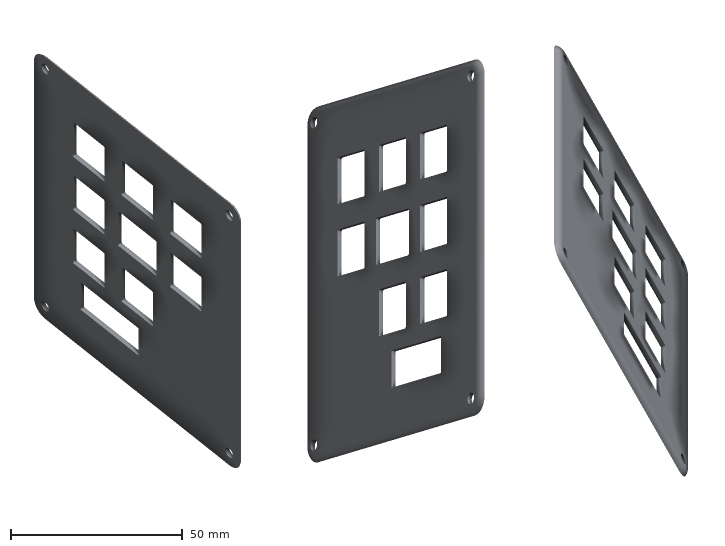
import cadquery as cq
import math

width = 91.5
height = 105.7
thickness = 1.5
corner_radius = 5.0

edge_radius = 3.0
arc_centre_depth = edge_radius - thickness
overhang = edge_radius - math.sqrt(edge_radius**2 - arc_centre_depth**2)

screw_diameter = 3.4
screw_spacing_x = width - 2 * corner_radius
screw_spacing_z = height - 2 * corner_radius

key_width = 14.1
key_height = 14.0
wide_key_width = 17.1
key_pitch = 21.5
middle_row_z = 7.1
key_corner_radius = 0.5
keys_by_row = {1: (-1, 0, 1), 0: (-1, 0, 1), -1: (-1, 0)}

window_width = 25.8
window_height = 11.0
window_x = -12.4
window_z = -32.2


def front_plane(y=0.0):
    """Workplane parallel to the front face, extruding toward +Y (its local y is -Z)."""
    return cq.Workplane(cq.Plane(origin=(0, y, 0), xDir=(1, 0, 0), normal=(0, 1, 0)))


def rounded_plate():
    """Thicker slab with a full edge fillet, cut off at Y = 0 so only part of the fillet is left."""
    slab_width = width + 2 * overhang
    slab_height = height + 2 * overhang
    slab = (
        front_plane(-edge_radius)
        .rect(slab_width, slab_height)
        .extrude(edge_radius + thickness)
        .edges("|Y")
        .fillet(corner_radius + overhang)
        .faces(">Y")
        .edges()
        .fillet(edge_radius)
    )
    kept_space = front_plane().rect(slab_width, slab_height).extrude(thickness)
    return slab.intersect(kept_space)


def screw_holes():
    return (
        front_plane()
        .rect(screw_spacing_x, screw_spacing_z, forConstruction=True)
        .vertices()
        .circle(screw_diameter / 2)
        .extrude(thickness)
    )


def opening(x, z, size_x, size_z):
    return front_plane().center(x, -z).rect(size_x, size_z).extrude(thickness)


def key_opening(row, column):
    is_middle = row == 0 and column == 0
    size_x = wide_key_width if is_middle else key_width
    block = opening(column * key_pitch, middle_row_z + row * key_pitch, size_x, key_height)
    return block.edges("|Y").fillet(key_corner_radius)


result = rounded_plate().cut(screw_holes())

for row, columns in keys_by_row.items():
    for column in columns:
        result = result.cut(key_opening(row, column))

result = result.cut(opening(window_x, window_z, window_width, window_height))